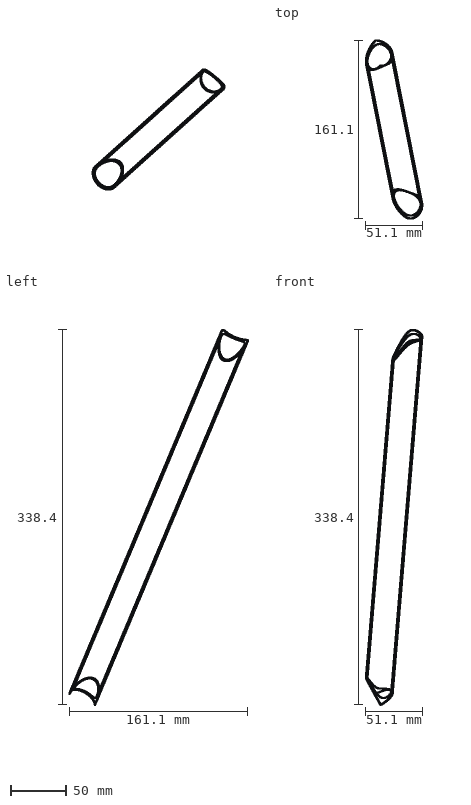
import cadquery as cq
import math

outer_diameter = 25.5
wall = 1.52
lean_x = 0.083
lean_y = -0.42
tip_height = 327.0
end_allowance = 33.8

top_cope_radius = 14.0
top_cope_angle = 45
bottom_cope_radius = outer_diameter / 2
bottom_cope_angle = -27
bottom_cope_turn = 12
cutter_length = 203
cutter_reach = 135.3

outer_radius = outer_diameter / 2
tip_length = tip_height * math.hypot(lean_x, lean_y, 1)


def make_tube():
    """Straight tube along local Z with stock beyond both tips."""
    return (
        cq.Workplane("XY", origin=(0, 0, -end_allowance))
        .circle(outer_radius)
        .circle(outer_radius - wall)
        .extrude(tip_length + 2 * end_allowance)
    )


def make_cope(tip_z, radius, angle, outward):
    """Round-bottomed cutter whose rounded side meets the tube at its side tips.

    outward is +1 for the top end and -1 for the bottom end.
    """
    tip_to_axis = math.sqrt(radius**2 - outer_radius**2)
    axis_z = tip_z + outward * tip_to_axis / math.cos(math.radians(angle))
    profile = (
        cq.Workplane("YZ")
        .moveTo(-radius, 0)
        .threePointArc((0, -outward * radius), (radius, 0))
        .lineTo(radius, outward * cutter_reach)
        .lineTo(-radius, outward * cutter_reach)
        .close()
    )
    cutter = profile.extrude(cutter_length / 2, both=True)
    return cutter.rotate((0, 0, 0), (0, 1, 0), -angle).translate((0, 0, axis_z))


top_cope = make_cope(tip_length, top_cope_radius, top_cope_angle, 1)
bottom_cope = make_cope(0, bottom_cope_radius, bottom_cope_angle, -1)
bottom_cope = bottom_cope.rotate((0, 0, 0), (0, 0, 1), bottom_cope_turn)
straight_tube = make_tube().cut(top_cope).cut(bottom_cope)

lean_plane = cq.Plane(
    origin=(0, 0, 0),
    xDir=(1, 0, -lean_x),
    normal=(lean_x, lean_y, 1),
)
result = cq.Workplane(obj=straight_tube.val().moved(cq.Location(lean_plane)))